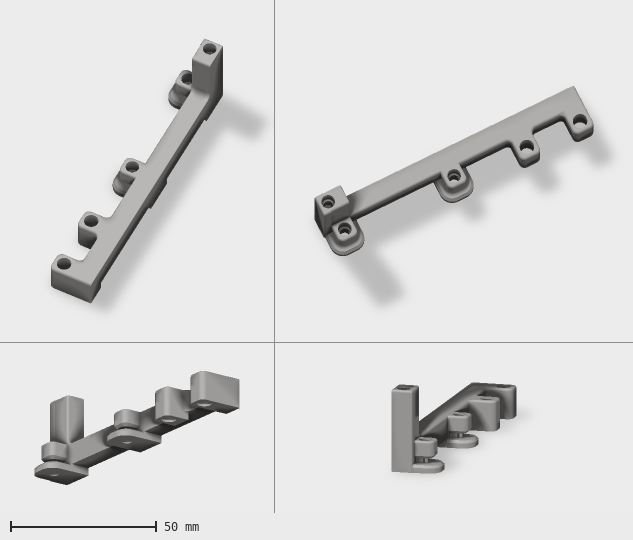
import cadquery as cq

length = 99.75
width = 16.5
top = 10.7
post_top = 28.7

bar_x = width - 7.4
bar_bottom = 2.7
relief_x = bar_x + 0.2
rim = 0.8
back_round = 0.2

post_y = length - 10.1
post_root = 2.0
post_hole_x = width - 3.5
post_hole_y = length - 3.5
post_hole_depth = 10.0

leg_x = 0.2
leg_width = 7.8
leg_round = 2.0
leg_rim = 0.9
leg_hole = 5.0
leg_hole_x = leg_x + leg_width / 2
first_leg_y = leg_width / 2
second_leg_y = 24.3
second_leg_end = bar_x + 0.5

clamp_x = 6.2
post_clamp_y = 93.3
bar_clamp_y = 51.3
clamp_flat = 3.3
foot_width = 12.2
foot_chamfer = 0.9
boss_width = 7.3
boss_bottom = 4.5
boss_chamfer = 1.0
inset = (foot_width - boss_width) / 2
boss_x = inset
neck_x = 2 * inset
neck_width = 3.2
neck_round = 0.7
clamp_end = bar_x + 1.0

insert_hole = 4.7
insert_depth = 5.0
screw_hole = 3.3

leg_section_end = bar_clamp_y + boss_width / 2
post_back_y = post_clamp_y + boss_width / 2

tolerance = 0.05


def block(x0, x1, y0, y1, z0, z1):
    """Box between the given limits."""
    box = cq.Workplane("XY").box(x1 - x0, y1 - y0, z1 - z0, centered=False)
    return box.translate((x0, y0, z0))


def strip(x0, x1, center_y, strip_width, z0, z1):
    """Box of the given width in Y around center_y."""
    return block(x0, x1, center_y - strip_width / 2, center_y + strip_width / 2, z0, z1)


def tab(x0, x1, center_y, tab_width, z0, z1, corner_radius):
    """Strip with its two upright edges at the -X end rounded."""
    return strip(x0, x1, center_y, tab_width, z0, z1).edges("|Z and <X").fillet(corner_radius)


def hole(x, y, diameter, z0, z1):
    """Upright cylinder to be cut away."""
    return cq.Workplane("XY", origin=(x, y, z0)).circle(diameter / 2).extrude(z1 - z0)


def within(x0, x1, y0, y1, z0, z1):
    """Selector for edges whose centers lie between the given limits, ends included."""
    low = (x0 - tolerance, y0 - tolerance, z0 - tolerance)
    high = (x1 + tolerance, y1 + tolerance, z1 + tolerance)
    return cq.selectors.BoxSelector(low, high)


def leg_section():
    """Thicker end of the bar with the first leg and the upper part of the second one."""
    body = block(bar_x, width, 0, leg_section_end, bar_bottom, top)
    body = body.union(tab(leg_x, width, first_leg_y, leg_width, 0, top, leg_round))
    body = body.union(tab(leg_x, width, second_leg_y, leg_width, bar_bottom, top, leg_round))

    second_leg_y0 = second_leg_y - leg_width / 2
    second_leg_y1 = second_leg_y + leg_width / 2
    roots = within(bar_x, bar_x, second_leg_y0, second_leg_y1, bar_bottom, top)
    body = body.edges("|Z").edges(roots).fillet(leg_round)

    sides = within(0, width - 2 * tolerance, 0, leg_section_end - 2 * tolerance, top, top)
    body = body.edges(sides).fillet(leg_rim)

    first_root = within(bar_x, bar_x, leg_width, leg_width, bar_bottom, top)
    return body.edges("|Z").edges(first_root).fillet(leg_round)


def post_section():
    """Thinner stretch of the bar, running up into the post."""
    body = block(relief_x, width, leg_section_end, length, bar_bottom, top)
    body = body.union(block(relief_x, width, post_y, length, 0, post_top))
    root = within(relief_x, width, post_y, post_y, top, top)
    body = body.edges("|X").edges(root).fillet(post_root)

    bar_edge = within(relief_x, relief_x, leg_section_end, post_y, top, post_top)
    post_edges = within(relief_x, width - 2 * tolerance, post_y, length, post_top, post_top)
    return body.edges(bar_edge + post_edges).fillet(rim)


def post_back():
    """Thicker strip at the back of the post, over its full height."""
    body = block(bar_x, width, post_back_y, length, 0, post_top)
    return body.edges("(|Z and <X and >Y) or (>Z and <X) or (>Z and >Y)").fillet(rim)


def beam():
    """Bar, post and legs joined, with the edges along the +X side rounded."""
    body = leg_section().union(post_section()).union(post_back()).clean()
    return body.faces(">X").edges("not(<Z)").fillet(back_round)


def second_leg_lower():
    """Part of the second leg below the bar."""
    return tab(leg_x, second_leg_end, second_leg_y, leg_width, 0, bar_bottom, leg_round)


def clamp(center_y):
    """Foot below and boss above, with a slot between them bridged by a narrow neck."""
    foot_radius = (foot_width - clamp_flat) / 2
    foot = tab(0, clamp_end, center_y, foot_width, 0, bar_bottom, foot_radius)
    foot = foot.faces(">Z").edges("not(>X)").chamfer(foot_chamfer)
    foot = foot.union(strip(bar_x, width, center_y, foot_width, 0, bar_bottom))

    boss_radius = (boss_width - clamp_flat) / 2
    boss = tab(boss_x, clamp_end, center_y, boss_width, boss_bottom, top, boss_radius)
    boss = boss.faces("<Z").edges("not(>X)").chamfer(boss_chamfer)
    boss = boss.faces(">Z").edges("not(>X)").fillet(rim)

    neck = tab(neck_x, clamp_end, center_y, neck_width, bar_bottom, boss_bottom, neck_round)
    return foot.union(neck).union(boss)


def insert_cut(x, y, z0, z1):
    """Insert hole down from z1, continued by a screw hole to z0."""
    insert_floor = z1 - insert_depth
    return hole(x, y, insert_hole, insert_floor, z1).union(hole(x, y, screw_hole, z0, insert_floor))


part = beam().union(second_leg_lower())

part = part.union(strip(bar_x, relief_x, post_clamp_y, boss_width, bar_bottom, top - rim))

for clamp_y in (post_clamp_y, bar_clamp_y):
    part = part.union(clamp(clamp_y))
    part = part.cut(insert_cut(clamp_x, clamp_y, 0, top))

for leg_y in (first_leg_y, second_leg_y):
    part = part.cut(hole(leg_hole_x, leg_y, leg_hole, 0, top))

part = part.cut(insert_cut(post_hole_x, post_hole_y, post_top - post_hole_depth, post_top))

result = part